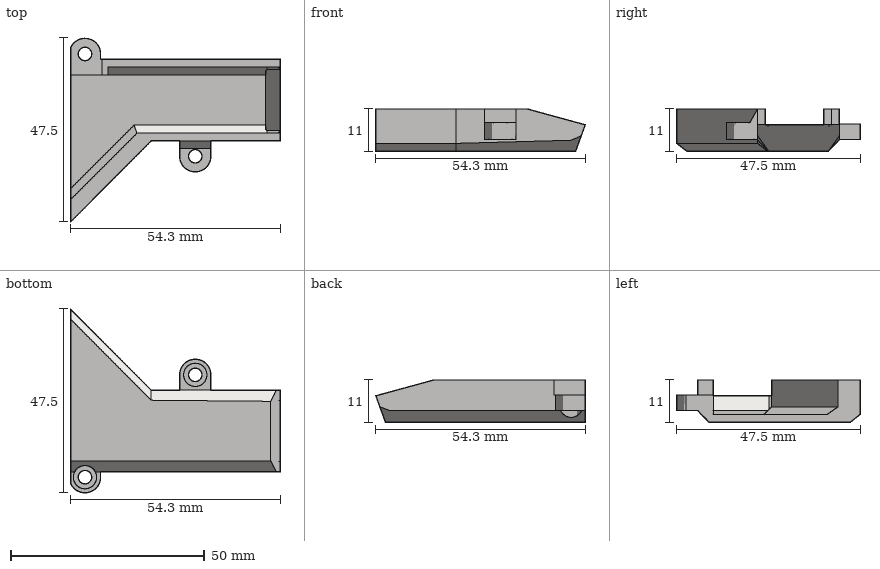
import cadquery as cq

length = 54.25
height = 11.0
front_y = 20.95
back_y = 42.1
elbow_x = 20.8
side_wall = 2.0
slope_start = 39.15
lip_z = 6.9
end_foot_x = 51.75

floor_z = 2.0
bevel_top_z = 4.0
bevel_run = 2.05
inner_front = front_y + side_wall
inner_back = back_y - side_wall
floor_front = inner_front + bevel_run
floor_back = inner_back - bevel_run
wall_start_y = 5.8
floor_start_y = 8.6
post_end_x = 9.7
end_step_x = 50.65
end_step_top_x = 50.45
end_step_top_z = 3.05
corner_bevel = 0.65

back_bevel_z = 3.05
back_bevel_run = 2.9
slant_bevel_z = 2.05
slant_bevel_run = 2.6
end_bevel_z = 2.9
end_bevel_run = 2.9
corner_start_x = 50.55
corner_top_z = 4.0

hole_diameter = 3.4
recess_diameter = 6.0
recess_depth = 3.0
lug_radius = 4.05
back_lug_x, back_lug_y = 3.7, 43.45
back_lug_z, back_lug_top = 3.05, 7.1
lug_step_x = 8.1
front_lug_x, front_lug_y = 32.2, 17.0
front_lug_z, front_lug_top = 3.1, 7.45
gusset_run = 2.0

clearance = 2.7


def profile_along_y(points, y_start, y_end):
    """Extrude an XZ outline between two Y positions."""
    plane = cq.Workplane("XZ", origin=(0, y_start, 0))
    return plane.polyline(points).close().extrude(y_start - y_end)


def profile_along_x(points, x_start, x_end):
    """Extrude a YZ outline between two X positions."""
    plane = cq.Workplane("YZ", origin=(x_start, 0, 0))
    return plane.polyline(points).close().extrude(x_end - x_start)


def ruled_solid(*sections):
    """Join closed 3D outlines with straight-ruled sides."""
    wires = [cq.Wire.makePolygon([cq.Vector(*p) for p in s], close=True) for s in sections]
    return cq.Workplane(obj=cq.Solid.makeLoft(wires, True))


def tetrahedron(corners):
    """Make a solid from four corner points."""
    faces = []
    for skipped in range(4):
        points = [cq.Vector(*p) for i, p in enumerate(corners) if i != skipped]
        faces.append(cq.Face.makeFromWires(cq.Wire.makePolygon(points, close=True)))
    return cq.Workplane(obj=cq.Solid.makeSolid(cq.Shell.makeShell(faces)).fix())


def end_face_x(z):
    """X position of the leaning outer end face at a height."""
    return end_foot_x + (length - end_foot_x) * z / lip_z


def make_blank():
    plan = [(0, 0), (elbow_x, front_y), (length, front_y), (length, back_y), (0, back_y)]
    side = [(0, 0), (end_foot_x, 0), (length, lip_z), (slope_start, height), (0, height)]
    blank = cq.Workplane("XY").polyline(plan).close().extrude(height)
    return blank.intersect(profile_along_y(side, 0, back_y))


def front_bevel_section(x, y, run, rise):
    return [(x, y, 0), (x, y + run, 0), (x, y, rise)]


def bevel_bottom(body):
    tip = front_bevel_section(0, 0, slant_bevel_run, slant_bevel_z)
    elbow = front_bevel_section(elbow_x, front_y, slant_bevel_run, slant_bevel_z)
    corner = front_bevel_section(corner_start_x, front_y, end_bevel_run, end_bevel_z)
    end = front_bevel_section(length, front_y, end_bevel_run, end_bevel_z)
    back = [(back_y, 0), (back_y - back_bevel_run, 0), (back_y, back_bevel_z)]
    for start, stop in ((tip, elbow), (elbow, corner), (corner, end)):
        body = body.cut(ruled_solid(start, stop))
    body = body.cut(profile_along_x(back, 0, length))
    for wall_y, inward, run, rise in (
        (front_y, 1, end_bevel_run, end_bevel_z),
        (back_y, -1, back_bevel_run, back_bevel_z),
    ):
        facet = tetrahedron([
            (corner_start_x, wall_y, rise),
            (end_face_x(corner_top_z), wall_y, corner_top_z),
            (end_foot_x, wall_y + inward * run, 0),
            (end_face_x(rise), wall_y, rise),
        ])
        body = body.cut(facet)
    return body


def make_cavity():
    top = height + clearance
    far = length + clearance
    floor_plan = [
        (0, floor_start_y), (floor_front - floor_start_y, floor_front),
        (far, floor_front), (far, floor_back), (0, floor_back),
    ]
    wall_plan = [
        (0, wall_start_y), (inner_front - wall_start_y, inner_front),
        (far, inner_front), (far, floor_back), (0, floor_back),
    ]
    floor = [(x, y, floor_z) for x, y in floor_plan]
    bevel_top = [(x, y, bevel_top_z) for x, y in wall_plan]
    upper = cq.Workplane("XY", origin=(0, 0, bevel_top_z)).polyline(wall_plan).close()
    rail = [(floor_back, floor_z), (inner_back, bevel_top_z), (inner_back, top), (floor_back, top)]
    cavity = ruled_solid(floor, bevel_top).union(upper.extrude(top - bevel_top_z))
    cavity = cavity.union(profile_along_x(rail, post_end_x, far))

    end_limit = [
        (0, floor_z), (end_step_x, floor_z), (end_step_top_x, end_step_top_z),
        (length, lip_z), (length, top), (0, top),
    ]
    cavity = cavity.intersect(profile_along_y(end_limit, 0, back_y))

    for wall_y, inward in ((inner_front, 1), (inner_back, -1)):
        strip = [
            [(x - corner_bevel, wall_y, z), (x, wall_y, z), (x, wall_y + inward * corner_bevel, z)]
            for x, z in ((end_step_top_x, end_step_top_z), (length, lip_z))
        ]
        cavity = cavity.cut(ruled_solid(*strip))
    return cavity


def lug(x, y, z, top, root_y):
    """Round-ended tab reaching from its centre back to root_y."""
    tab = cq.Workplane("XY", origin=(x, y, z)).circle(lug_radius).extrude(top - z)
    reach = abs(root_y - y)
    arm = cq.Workplane("XY").box(2 * lug_radius, reach, top - z, centered=(True, False, False))
    return tab.union(arm.translate((x, min(y, root_y), z)))


def add_lugs(body):
    corner = cq.Workplane("XY", origin=(0, floor_back, back_lug_top))
    body = body.cut(corner.rect(lug_step_x, back_y - floor_back, centered=False).extrude(height))
    back = lug(back_lug_x, back_lug_y, back_lug_z, back_lug_top, back_y)
    open_side = cq.Workplane("XY").box(2 * lug_radius, length, height, centered=(False, False, False))
    body = body.union(back.intersect(open_side))

    front = lug(front_lug_x, front_lug_y, front_lug_z, front_lug_top, front_y)
    gusset = [(front_y, front_lug_top), (front_y - gusset_run, front_lug_top), (front_y, height)]
    body = body.union(front)
    body = body.union(profile_along_x(gusset, front_lug_x - lug_radius, front_lug_x + lug_radius))

    centers = [(back_lug_x, back_lug_y), (front_lug_x, front_lug_y)]
    holes = cq.Workplane("XY").pushPoints(centers).circle(hole_diameter / 2).extrude(height)
    body = body.cut(holes)
    for x, y, z in ((back_lug_x, back_lug_y, back_lug_z), (front_lug_x, front_lug_y, front_lug_z)):
        recess = cq.Workplane("XY").center(x, y).circle(recess_diameter / 2)
        body = body.cut(recess.extrude(z + recess_depth))
    return body


tray = bevel_bottom(make_blank()).cut(make_cavity())
result = add_lugs(tray)